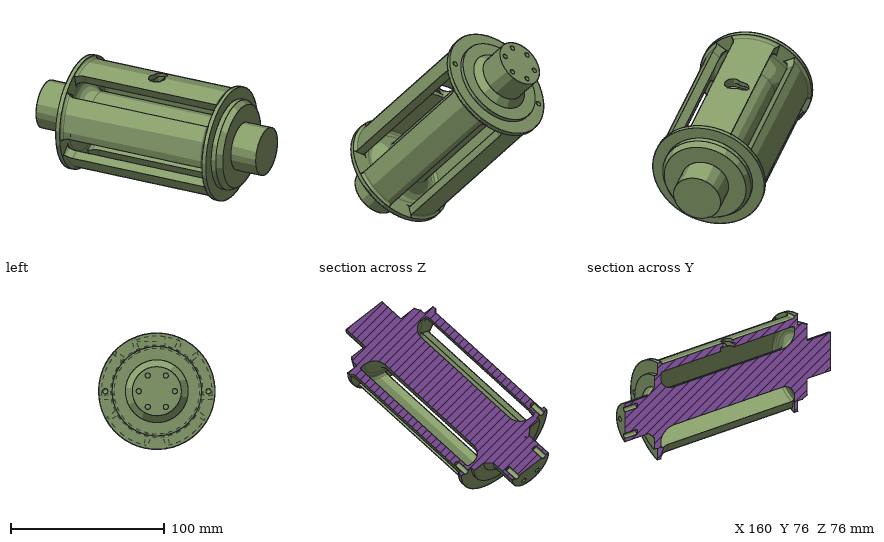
import cadquery as cq
import math

length = 160.0
x_cone_start = 18.5
x_left_hub = 22.7
x_left_flange = 25.3
flange_thickness = 2.9
x_right_flange_outer = 134.5
x_right_chamfer = 138.0
x_right_hub_end = 142.0
x_cage_start = x_left_flange + flange_thickness
x_cage_end = x_right_flange_outer - flange_thickness

shaft_radius = 16.0
cone_radius = 20.5
left_hub_radius = 29.1
flange_radius = 76.0 / 2
right_hub_radius = 30.0
right_hub_end_radius = 27.8
cage_radius = 36.0
bore_radius = 29.8

outer_fillet = 1.8
bore_fillet = 1.6
shaft_fillet = 9.6

slot_count = 5
slot_first_angle = 54.0
slot_half_angle = 13.5
x_slot_arc_center = 34.2

keyhole_x = length / 2
keyhole_head_radius = 5.3
keyhole_neck_radius = 3.7
keyhole_neck_y = 7.2
keyhole_blend_radius = 3.2
keyhole_lip_z = 32.3

hole_radius = 3.4 / 2
hole_depth = 9.6
shaft_hole_count = 6
shaft_hole_circle_radius = 23.5 / 2
flange_hole_circle_radius = 33.6
drill_tip_angle = 118.0
drill_tip_length = hole_radius / math.tan(math.radians(drill_tip_angle / 2))


def corner_arc(profile, corner_x, corner_y, center_x, center_y, end):
    """Add a quarter arc to end, bulging toward the corner it replaces."""
    bulge = math.sqrt(0.5)
    mid = (center_x + (corner_x - center_x) * bulge, center_y + (corner_y - center_y) * bulge)
    return profile.threePointArc(mid, end)


def make_body():
    """Stepped shaft, hubs, flanges and cage as one turned solid."""
    fillet_center_y = cage_radius + outer_fillet
    profile = (
        cq.Workplane("XY")
        .moveTo(0, 0)
        .lineTo(0, shaft_radius)
        .lineTo(x_cone_start, shaft_radius)
        .lineTo(x_left_hub, cone_radius)
        .lineTo(x_left_hub, left_hub_radius)
        .lineTo(x_left_flange, left_hub_radius)
        .lineTo(x_left_flange, flange_radius)
        .lineTo(x_cage_start, flange_radius)
        .lineTo(x_cage_start, fillet_center_y)
    )
    left_x = x_cage_start + outer_fillet
    right_x = x_cage_end - outer_fillet
    left_end = (left_x, cage_radius)
    profile = corner_arc(profile, x_cage_start, cage_radius, left_x, fillet_center_y, left_end)
    profile = profile.lineTo(right_x, cage_radius)
    right_end = (x_cage_end, fillet_center_y)
    profile = corner_arc(profile, x_cage_end, cage_radius, right_x, fillet_center_y, right_end)
    profile = (
        profile.lineTo(x_cage_end, flange_radius)
        .lineTo(x_right_flange_outer, flange_radius)
        .lineTo(x_right_flange_outer, right_hub_radius)
        .lineTo(x_right_chamfer, right_hub_radius)
        .lineTo(x_right_hub_end, right_hub_end_radius)
        .lineTo(x_right_hub_end, shaft_radius)
        .lineTo(length, shaft_radius)
        .lineTo(length, 0)
    )
    return profile.close().revolve(360, (0, 0, 0), (1, 0, 0))


def make_cavity():
    """Ring-shaped space between the shaft and the cage, rounded at both ends."""
    cavity_length = x_cage_end - x_cage_start
    cavity = (
        cq.Workplane("YZ", origin=(x_cage_start, 0, 0))
        .circle(bore_radius)
        .circle(shaft_radius)
        .extrude(cavity_length)
    )
    inner_edges = cq.selectors.RadiusNthSelector(0)
    outer_edges = cq.selectors.RadiusNthSelector(-1)
    cavity = cavity.faces("<X or >X").edges(inner_edges).fillet(shaft_fillet)
    return cavity.faces("<X or >X").edges(outer_edges).fillet(bore_fillet)


def make_slots():
    """Slots with radial walls, round at the left and square at the right, kept between the flanges."""
    mid_radius = (shaft_radius + shaft_fillet + bore_radius) / 2
    half_width = mid_radius * math.tan(math.radians(slot_half_angle))
    x_overrun = x_cage_end + flange_radius
    slot = (
        cq.Workplane("XY", origin=(0, 0, mid_radius))
        .moveTo(x_slot_arc_center, half_width)
        .lineTo(x_overrun, half_width)
        .lineTo(x_overrun, -half_width)
        .lineTo(x_slot_arc_center, -half_width)
        .threePointArc((x_slot_arc_center - half_width, 0), (x_slot_arc_center, half_width))
        .close()
        .extrude(flange_radius - mid_radius, taper=-slot_half_angle)
    )
    slots = cq.Workplane("XY")
    for index in range(slot_count):
        angle = slot_first_angle + index * 360 / slot_count
        slots = slots.add(slot.rotate((0, 0, 0), (1, 0, 0), angle - 90))
    between_flanges = (
        cq.Workplane("YZ", origin=(x_cage_start, 0, 0))
        .circle(2 * flange_radius)
        .extrude(x_cage_end - x_cage_start)
    )
    return slots.combine().intersect(between_flanges)


def make_keyhole():
    """Large round head and narrow round neck, joined by blends tangent to the head and the neck."""
    blend_x = keyhole_neck_radius + keyhole_blend_radius
    center_distance = keyhole_head_radius + keyhole_blend_radius
    blend_y = math.sqrt(center_distance**2 - blend_x**2)
    head_share = keyhole_head_radius / center_distance
    touch_x = blend_x * head_share
    touch_y = blend_y * head_share
    half_sweep = math.atan2(blend_y, blend_x) / 2
    mid_x = blend_x - keyhole_blend_radius * math.cos(half_sweep)
    mid_y = blend_y - keyhole_blend_radius * math.sin(half_sweep)
    return (
        cq.Workplane("XY", origin=(keyhole_x, 0, (shaft_radius + bore_radius) / 2))
        .moveTo(touch_x, touch_y)
        .threePointArc((mid_x, mid_y), (keyhole_neck_radius, blend_y))
        .lineTo(keyhole_neck_radius, keyhole_neck_y)
        .threePointArc((0, keyhole_neck_y + keyhole_neck_radius), (-keyhole_neck_radius, keyhole_neck_y))
        .lineTo(-keyhole_neck_radius, blend_y)
        .threePointArc((-mid_x, mid_y), (-touch_x, touch_y))
        .threePointArc((0, -keyhole_head_radius), (touch_x, touch_y))
        .close()
        .extrude(flange_radius)
    )


def make_keyhole_channel():
    """Channel as wide as the keyhole head, running under the lip along the neck."""
    z_bottom = (shaft_radius + bore_radius) / 2
    return (
        cq.Workplane("XY", origin=(keyhole_x, keyhole_neck_y / 2, z_bottom))
        .slot2D(keyhole_neck_y + 2 * keyhole_head_radius, 2 * keyhole_head_radius, 90)
        .extrude(keyhole_lip_z - z_bottom)
    )


def make_shaft_holes():
    """Flat-bottomed blind holes in the left shaft end."""
    return (
        cq.Workplane("YZ")
        .polarArray(shaft_hole_circle_radius, 0, 360, shaft_hole_count)
        .circle(hole_radius)
        .extrude(hole_depth)
    )


def make_flange_hole(y):
    """Blind hole with a conical drill tip, through the left flange into a bar."""
    x_wall_end = x_left_flange + hole_depth
    return (
        cq.Workplane("XY")
        .moveTo(x_left_flange, y)
        .lineTo(x_left_flange, y + hole_radius)
        .lineTo(x_wall_end, y + hole_radius)
        .lineTo(x_wall_end + drill_tip_length, y)
        .close()
        .revolve(360, (0, y, 0), (1, y, 0))
    )


result = make_body().cut(make_cavity()).cut(make_slots())
result = result.cut(make_keyhole()).cut(make_keyhole_channel())
result = result.cut(make_shaft_holes())
for hole_y in (-flange_hole_circle_radius, flange_hole_circle_radius):
    result = result.cut(make_flange_hole(hole_y))

result = result.translate((-length / 2, 0, 0))